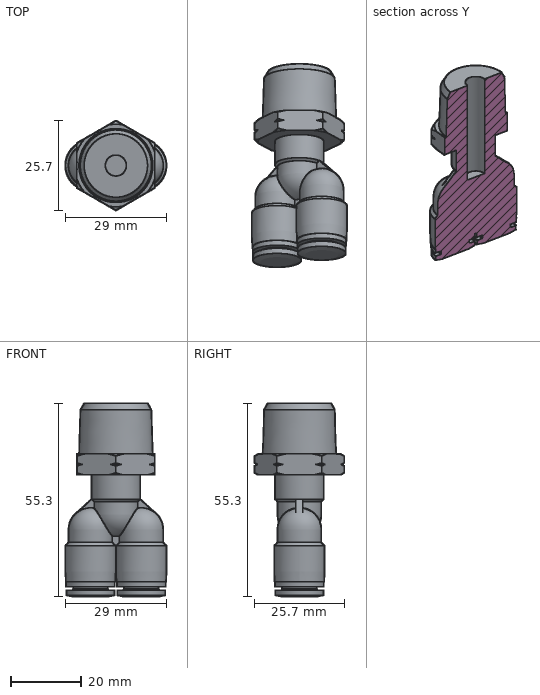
import cadquery as cq
import math

total_height = 55.3

thread_base_diameter = 21.1
thread_taper = 1 / 16
thread_length = 14.5
thread_chamfer_height = 1.9
thread_tip_diameter = 18.1

hex_corner_diameter = 25.67
hex_height = 6.0
hex_chamfer_diameter = 23.55
hex_groove_diameter = 24.15
hex_chamfer_angle = 30

collar_diameter = 14.0
collar_length = 6.9
stem_diameter = 12.6
stem_round_center_z = 23.5

bore_diameter = 6.0

port_spacing = 14.5
port_diameter = 14.47
port_taper_end_diameter = 14.2
port_end_diameter = 14.0
port_dome_diameter = stem_diameter
port_dome_center_z = 19.2
port_shoulder_z = 14.6
port_taper_top_z = 7.2
port_taper_bottom_z = 4.3
port_bottom_z = 2.85

sleeve_neck_diameter = 9.94
sleeve_flare_diameter = 10.3
sleeve_flare_height = 0.35
sleeve_flange_diameter = 13.8
sleeve_flange_top_z = 1.95
sleeve_rim_z = 0.45
sleeve_tip_diameter = 9.4

web_thickness = 2.0
web_brace_angle = 43

hex_top_z = total_height - thread_length
hex_bottom_z = hex_top_z - hex_height
collar_bottom_z = hex_bottom_z - collar_length
stem_top_z = collar_bottom_z - (collar_diameter - stem_diameter) / 2
port_x = port_spacing / 2


def revolve_about_z(profile):
    return profile.close().revolve(360, (0, 0), (0, 1))


def make_thread():
    chamfer_z = total_height - thread_chamfer_height
    chamfer_diameter = thread_base_diameter - thread_taper * (chamfer_z - hex_top_z)
    return revolve_about_z(
        cq.Workplane("XZ")
        .moveTo(0, hex_top_z)
        .lineTo(thread_base_diameter / 2, hex_top_z)
        .lineTo(chamfer_diameter / 2, chamfer_z)
        .lineTo(thread_tip_diameter / 2, total_height)
        .lineTo(0, total_height)
    )


def make_hexagon():
    prism = (
        cq.Workplane("XY", origin=(0, 0, hex_bottom_z))
        .transformed(rotate=(0, 0, 90))
        .polygon(6, hex_corner_diameter)
        .extrude(hex_height)
    )
    slope = math.tan(math.radians(hex_chamfer_angle))
    outer_radius = hex_corner_diameter / 2
    middle_z = (hex_bottom_z + hex_top_z) / 2
    chamfer_drop = (outer_radius - hex_chamfer_diameter / 2) * slope
    groove_half_width = (outer_radius - hex_groove_diameter / 2) * slope
    envelope = revolve_about_z(
        cq.Workplane("XZ")
        .moveTo(0, hex_bottom_z)
        .lineTo(hex_chamfer_diameter / 2, hex_bottom_z)
        .lineTo(outer_radius, hex_bottom_z + chamfer_drop)
        .lineTo(outer_radius, middle_z - groove_half_width)
        .lineTo(hex_groove_diameter / 2, middle_z)
        .lineTo(outer_radius, middle_z + groove_half_width)
        .lineTo(outer_radius, hex_top_z - chamfer_drop)
        .lineTo(hex_chamfer_diameter / 2, hex_top_z)
        .lineTo(0, hex_top_z)
    )
    return prism.intersect(envelope)


def make_stem():
    radius = stem_diameter / 2
    return revolve_about_z(
        cq.Workplane("XZ")
        .moveTo(0, hex_bottom_z)
        .lineTo(collar_diameter / 2, hex_bottom_z)
        .lineTo(collar_diameter / 2, collar_bottom_z)
        .lineTo(radius, stem_top_z)
        .lineTo(radius, stem_round_center_z)
        .radiusArc((0, stem_round_center_z - radius), radius)
    )


def make_port():
    dome_radius = port_dome_diameter / 2
    shoulder_top_z = port_shoulder_z + (port_diameter - port_dome_diameter) / 2
    return revolve_about_z(
        cq.Workplane("XZ")
        .moveTo(0, port_dome_center_z + dome_radius)
        .radiusArc((dome_radius, port_dome_center_z), dome_radius)
        .lineTo(dome_radius, shoulder_top_z)
        .lineTo(port_diameter / 2, port_shoulder_z)
        .lineTo(port_diameter / 2, port_taper_top_z)
        .lineTo(port_taper_end_diameter / 2, port_taper_bottom_z)
        .lineTo(port_end_diameter / 2, port_taper_bottom_z)
        .lineTo(port_end_diameter / 2, port_bottom_z)
        .lineTo(sleeve_neck_diameter / 2, port_bottom_z)
        .lineTo(sleeve_neck_diameter / 2, sleeve_flange_top_z + sleeve_flare_height)
        .lineTo(sleeve_flare_diameter / 2, sleeve_flange_top_z)
        .lineTo(sleeve_flange_diameter / 2, sleeve_flange_top_z)
        .lineTo(sleeve_flange_diameter / 2, sleeve_rim_z)
        .lineTo(sleeve_tip_diameter / 2, 0)
        .lineTo(0, 0)
    )


def make_web():
    brace_top_x = collar_diameter / 2
    brace_angle = math.radians(web_brace_angle)
    brace_end_x = port_x + port_dome_diameter / 2 * math.sin(brace_angle)
    brace_drop = (brace_end_x - brace_top_x) * math.tan(brace_angle)
    return (
        cq.Workplane("XZ")
        .moveTo(-brace_top_x, collar_bottom_z)
        .lineTo(brace_top_x, collar_bottom_z)
        .lineTo(brace_end_x, collar_bottom_z - brace_drop)
        .lineTo(port_x, port_dome_center_z)
        .lineTo(port_x, port_taper_bottom_z)
        .lineTo(-port_x, port_taper_bottom_z)
        .lineTo(-port_x, port_dome_center_z)
        .lineTo(-brace_end_x, collar_bottom_z - brace_drop)
        .close()
        .extrude(web_thickness / 2, both=True)
    )


def make_bore():
    return (
        cq.Workplane("XY", origin=(0, 0, stem_round_center_z))
        .circle(bore_diameter / 2)
        .extrude(total_height - stem_round_center_z)
    )


body = make_thread().union(make_hexagon()).union(make_stem()).union(make_web())
for side in (-1, 1):
    body = body.union(make_port().translate((side * port_x, 0, 0)))

result = body.cut(make_bore())